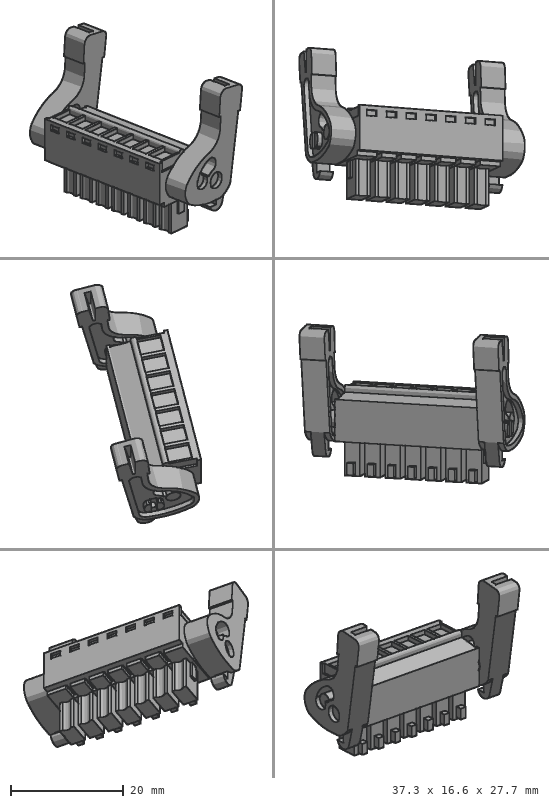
import cadquery as cq
import math


overall_width = 37.25
lever_width = 4.7
lever_gap = 0.2
housing_half = overall_width / 2 - lever_width - lever_gap
left_lever_x = -overall_width / 2
right_lever_x = overall_width / 2 - lever_width

poles = 7
pitch = 3.8
pole_x = [(i - (poles - 1) / 2) * pitch for i in range(poles)]

housing_height = 8.98
housing_depth = 11.15
step_depth = 1.2
step_height = 0.82
ledge_depth = 0.37
ledge_z = 7.6
slope_front_y = 6.85
slope_front_z = 8.25
ridge_front_y = 5.75
ridge_top_z = 9.45
side_recess_depth = 0.4
side_recess_front = 0.7
side_recess_back = 10.55
side_recess_z = 7.08

well_width = 3.15
well_front = 1.45
well_back = ridge_front_y
well_depth = 0.9
clamp_top_z = housing_height - well_depth
clamp_bottom_z = step_height
window_width = 1.9
window_height = 1.08
window_top_z = 8.2
window_depth = 0.6

finger_width = 2.87
finger_front = 4.17
finger_back = 8.4
finger_length = 6.6
finger_groove_width = 1.68
finger_groove_depth = 0.35
key_width = 1.2
key_depth = 1.2
key_bottom_z = -6.25
key_top_z = -4.1
end_rib_front = 5.75
end_rib_back = 7.2
end_rib_bottom_z = -3.13
end_rib_half = 13.2

pivot_y = 9.65
pivot_z = 3.88
pivot_radius = 1.53
head_radius = 1.83
head_half_height = 1.25
split_width = 1.08
split_depth = 2.05
guide_y = 5.95
guide_z = 4.8
guide_radius = 1.35

pocket_depth = 0.95
web_thickness = lever_width - pocket_depth
slot_radius = math.hypot(guide_y - pivot_y, guide_z - pivot_z)
slot_end_y = 8.25
slot_end_z = pivot_z + math.sqrt(slot_radius**2 - (slot_end_y - pivot_y) ** 2)
slot_bottom_z = 5.4
slit_length = 3.6
heel = (13.4, 1.95)
hook_x = 1.08
hook_width = 2.55


def box(x0, x1, y0, y1, z0, z1):
    return cq.Workplane("XY").box(x1 - x0, y1 - y0, z1 - z0, centered=False).translate((x0, y0, z0))


def side_plane(x):
    """Sketch plane across the part at x, with sketch axes along Y and Z."""
    return cq.Workplane("YZ", origin=(x, 0, 0))


def centred_box(x, width, y0, y1, z0, z1):
    return box(x - width / 2, x + width / 2, y0, y1, z0, z1)


def pin(start_x, length, y, z, radius):
    """Round bar along X, used for pins and for the holes they sit in."""
    return side_plane(start_x).center(y, z).circle(radius).extrude(length)


def housing_shell():
    ledge_front = housing_depth - ledge_depth
    ridge_mid_y = (slope_front_y + ridge_front_y) / 2
    return (
        side_plane(-housing_half)
        .moveTo(0, step_height)
        .lineTo(step_depth, step_height)
        .lineTo(step_depth, 0)
        .lineTo(housing_depth, 0)
        .lineTo(housing_depth, ledge_z)
        .lineTo(ledge_front, ledge_z)
        .lineTo(slope_front_y, slope_front_z)
        .lineTo(slope_front_y, housing_height)
        .threePointArc((ridge_mid_y, ridge_top_z), (ridge_front_y, housing_height))
        .lineTo(0, housing_height)
        .close()
        .extrude(2 * housing_half)
    )


def side_recesses():
    inner = housing_half - side_recess_depth
    left = box(-housing_half, -inner, side_recess_front, side_recess_back, side_recess_z, ridge_top_z)
    return left.union(left.mirror("YZ"))


def finger(x):
    block = centred_box(x, finger_width, finger_front, finger_back, -finger_length, 0)
    half = finger_groove_width / 2
    groove = (
        cq.Workplane("XY", origin=(x, finger_front, -finger_length))
        .moveTo(-half, 0)
        .threePointArc((0, finger_groove_depth), (half, 0))
        .close()
        .extrude(finger_length)
    )
    key = centred_box(x, key_width, finger_back, finger_back + key_depth, key_bottom_z, key_top_z)
    return block.cut(groove).union(key)


def end_ribs():
    inner = pole_x[-1] + finger_width / 2
    right = box(inner, end_rib_half, end_rib_front, end_rib_back, end_rib_bottom_z, 0)
    return right.union(right.mirror("YZ"))


def left_pins():
    """Split snap pivot and guide pin that carry the left lever."""
    web_face = left_lever_x + pocket_depth
    shaft = pin(left_lever_x, lever_width + lever_gap, pivot_y, pivot_z, pivot_radius)
    guide = pin(web_face, web_thickness + lever_gap, guide_y, guide_z, guide_radius)

    head = pin(left_lever_x, pocket_depth, pivot_y, pivot_z, head_radius).intersect(
        box(
            left_lever_x,
            web_face,
            pivot_y - head_radius,
            pivot_y + head_radius,
            pivot_z - head_half_height,
            pivot_z + head_half_height,
        )
    )

    split_half = split_width / 2
    split_floor = left_lever_x + split_depth
    split = (
        cq.Workplane("XY", origin=(0, pivot_y, pivot_z - head_radius))
        .moveTo(left_lever_x, -split_half)
        .lineTo(split_floor - split_half, -split_half)
        .threePointArc((split_floor, 0), (split_floor - split_half, split_half))
        .lineTo(left_lever_x, split_half)
        .close()
        .extrude(2 * head_radius)
    )
    return shaft.union(head).cut(split).union(guide)


def right_pins():
    """Plain pivot and guide pin that carry the right lever."""
    length = web_thickness + lever_gap
    pivot = pin(housing_half, length, pivot_y, pivot_z, pivot_radius)
    return pivot.union(pin(housing_half, length, guide_y, guide_z, guide_radius))


def make_housing():
    body = housing_shell().cut(side_recesses())
    for x in pole_x:
        body = body.cut(centred_box(x, well_width, well_front, well_back, clamp_bottom_z, ridge_top_z))
        body = body.cut(
            centred_box(x, window_width, 0, window_depth, window_top_z - window_height, window_top_z)
        )
        body = body.union(finger(x))
    for x in pole_x[:-1]:
        gap = pitch - finger_width
        body = body.cut(centred_box(x + pitch / 2, gap, step_depth, finger_front, 0, step_height))
    return body.union(end_ribs()).union(left_pins()).union(right_pins())


def make_clamp(x):
    return centred_box(x, well_width, well_front, well_back, clamp_bottom_z, clamp_top_z)


def lever_plate(x):
    return (
        side_plane(x)
        .moveTo(*heel)
        .lineTo(15.55, 15.43)
        .lineTo(16.02, 15.43)
        .lineTo(16.55, 19.38)
        .threePointArc((16.3, 20.27), (15.43, 20.68))
        .lineTo(12.2, 21.1)
        .threePointArc((11.33, 20.8), (10.75, 19.9))
        .lineTo(10.47, 16.02)
        .lineTo(10.88, 16.02)
        .lineTo(10.7, 13.4)
        .threePointArc((9.65, 11.15), (7.75, 9.9))
        .threePointArc((4.55, 8.35), (1.85, 5.75))
        .lineTo(1.6, 5.15)
        .threePointArc((1.45, 3.65), (1.95, 2.4))
        .threePointArc((2.25, 1.9), (2.7, 1.5))
        .threePointArc((5.9, 0.3), (9.3, 0))
        .lineTo(10.75, 0)
        .threePointArc((12.5, 0.9), heel)
        .close()
        .extrude(lever_width)
    )


def lever_pocket(x):
    return (
        side_plane(x)
        .moveTo(14.25, 14.42)
        .threePointArc((13.15, 15.7), (12.0, 14.9))
        .lineTo(11.85, 13.1)
        .threePointArc((10.6, 10.47), (8.7, 9.15))
        .lineTo(7.1, 8.7)
        .threePointArc((4.5, 7.2), (2.7, 5.05))
        .threePointArc((2.45, 3.3), (3.05, 2.5))
        .threePointArc((6.9, 1.15), (10.65, 1.0))
        .threePointArc((11.8, 1.4), (12.4, 2.4))
        .close()
        .extrude(pocket_depth)
    )


def lever_slit(x):
    """Tapered slit in the end of the handle."""
    return (
        side_plane(x)
        .moveTo(14.4, 21.25)
        .lineTo(13.6, 17.05)
        .threePointArc((13.38, 16.85), (13.15, 17.05))
        .lineTo(13.15, 21.25)
        .close()
        .extrude(slit_length)
    )


def lever_guide_slot(x):
    """Arc slot about the pivot, flat at its lower end, that leads into the seat of the guide pin."""

    def at_radius(radius, y, z):
        reach = radius / slot_radius
        return (pivot_y + (y - pivot_y) * reach, pivot_z + (z - pivot_z) * reach)

    inner = slot_radius - guide_radius
    outer = slot_radius + guide_radius
    guide_angle = math.atan2(guide_z - pivot_z, guide_y - pivot_y)
    end_angle = math.atan2(slot_end_z - pivot_z, slot_end_y - pivot_y)
    mid_angle = (guide_angle + end_angle) / 2
    mid_y = pivot_y + slot_radius * math.cos(mid_angle)
    mid_z = pivot_z + slot_radius * math.sin(mid_angle)
    arc_slot = (
        side_plane(x)
        .moveTo(*at_radius(outer, guide_y, guide_z))
        .threePointArc(at_radius(outer, mid_y, mid_z), at_radius(outer, slot_end_y, slot_end_z))
        .lineTo(*at_radius(inner, slot_end_y, slot_end_z))
        .threePointArc(at_radius(inner, mid_y, mid_z), at_radius(inner, guide_y, guide_z))
        .close()
        .extrude(lever_width)
    )
    blocked = box(x, x + lever_width, 0, pivot_y, 0, slot_bottom_z)
    slot_end = pin(x, lever_width, slot_end_y, slot_end_z, guide_radius)
    seat = pin(x, lever_width, guide_y, guide_z, guide_radius)
    return arc_slot.cut(blocked).union(slot_end).union(seat)


def lever_hook(x):
    return (
        side_plane(x + hook_x)
        .moveTo(*heel)
        .lineTo(12.52, -1.6)
        .threePointArc((10.88, -2.87), (9.28, -1.68))
        .lineTo(10.88, -1.7)
        .lineTo(10.88, 0.37)
        .close()
        .extrude(hook_width)
    )


def make_lever(x):
    pivot_hole = pin(x, lever_width, pivot_y, pivot_z, pivot_radius)
    plate = lever_plate(x).union(lever_hook(x))
    return plate.cut(lever_pocket(x)).cut(lever_slit(x)).cut(pivot_hole).cut(lever_guide_slot(x))


housing = make_housing()
clamps = [make_clamp(x) for x in pole_x]
levers = [make_lever(x) for x in (left_lever_x, right_lever_x)]

result = cq.Compound.makeCompound(
    [housing.val(), *[clamp.val() for clamp in clamps], *[lever.val() for lever in levers]]
)